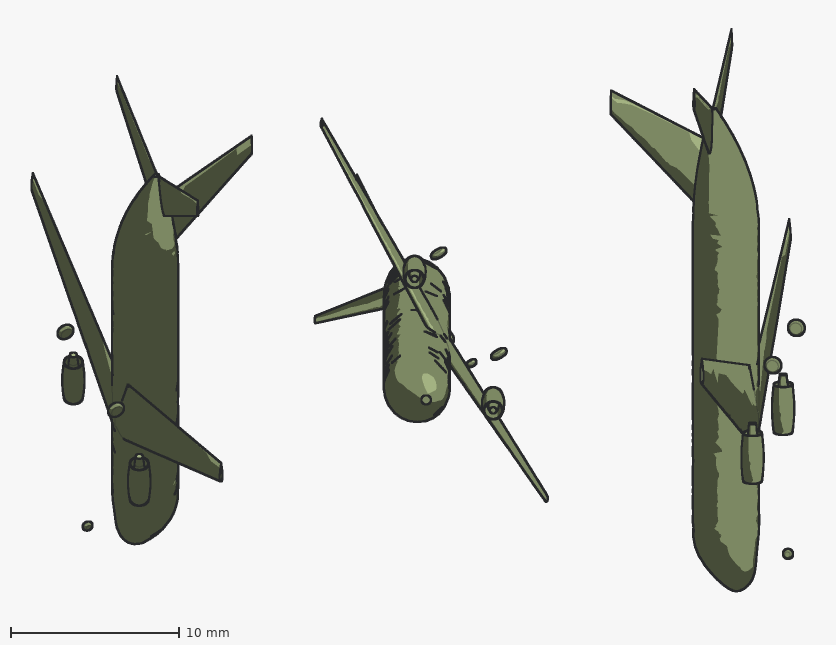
import cadquery as cq
import math


fuselage_radius = 1.98
nose_length = 3.95
tail_start = 22.5
tail_tip = 30.05
tail_tip_radius = 0.15
tail_tip_rise = 0.75
nose_drop = 0.64
nose_drop_power = 5
nose_bluntness_power = 1.2
nose_tip_angle = 0.2
end_rings = 9
barrel_spaces = 15

airfoil_scale = 5
airfoil_terms = [(0.2969, 0.5), (-0.1260, 1), (-0.3516, 2), (0.2843, 3), (-0.1036, 4)]

section_points = 24
wing_thickness_ratio = 0.125
wing_half_span = 26.81 / 2
wing_root_y = -1.68
wing_tip_y = -1.19
wing_root_edges = (9.07, 14.10)
wing_tip_edges = (17.30, 18.88)

tailplane_thickness_ratio = 0.08
tailplane_half_span = 5.75
tailplane_y = 0.80
tailplane_root_edges = (26.60, 30.03)
tailplane_tip_edges = (31.85, 33.14)

fin_thickness_ratio = 0.10
fin_tip_y = 6.97
fin_root_edges = (22.17, 27.54)
fin_tip_edges = (29.29, 30.79)

engine_x = 4.69
engine_y = -2.54
cowl_front = 8.47
cowl_rear = 11.46
cowl_end_radius = 0.57
cowl_middle_radius = 0.67
duct_radius = 0.53
core_front_radius = 0.20
core_middle_radius = 0.36
nozzle_base_radius = 0.28
nozzle_tip_radius = 0.21
nozzle_tip = 12.07
strut_width = 0.06
strut_length = 1.0

ground_y = -4.07
main_wheel_x = 3.59
main_wheel_z = 15.42
main_wheel_radius = 0.51
main_wheel_width = 0.34
nose_wheel_z = 2.45
nose_wheel_radius = 0.31
nose_wheel_width = 0.32
tread_rounding_ratio = 0.45


def circle_wire(center_y, z, radius):
    return cq.Wire.makeCircle(radius, cq.Vector(0, center_y, z), cq.Vector(0, 0, 1))


def nose_wires():
    """Rings of an ellipse-like nose whose centre droops towards the tip."""
    wires = []
    for index in range(end_rings + 1):
        angle = nose_tip_angle + (math.pi / 2 - nose_tip_angle) * index / end_rings
        advance = 1 - math.cos(angle) / math.cos(nose_tip_angle)
        radius = fuselage_radius * math.sin(angle) ** nose_bluntness_power
        center_y = -nose_drop * (1 - advance**2) ** nose_drop_power
        wires.append(circle_wire(center_y, nose_length * advance, radius))
    return wires


def barrel_wires():
    """Equal rings along the straight part between the nose and the tail cone."""
    spacing = (tail_start - nose_length) / barrel_spaces
    return [
        circle_wire(0, nose_length + spacing * index, fuselage_radius)
        for index in range(1, barrel_spaces)
    ]


def tail_wires():
    """Rings of a tail cone that rises towards a small blunt tip."""
    wires = []
    for index in range(end_rings + 1):
        advance = index / end_rings
        radius = fuselage_radius - (fuselage_radius - tail_tip_radius) * advance**2
        center_y = tail_tip_rise * advance**2
        z = tail_start + (tail_tip - tail_start) * advance
        wires.append(circle_wire(center_y, z, radius))
    return wires


def make_fuselage():
    wires = nose_wires() + barrel_wires() + tail_wires()
    return cq.Workplane(cq.Solid.makeLoft(wires))


def airfoil_half_thickness(fraction, thickness):
    """Half thickness of a symmetric four-digit NACA section with a closed trailing edge."""
    polynomial = sum(factor * fraction**power for factor, power in airfoil_terms)
    return airfoil_scale * thickness * polynomial


def airfoil_wire(edges, thickness_ratio, place):
    """Section between two Z edges; place(offset, z) puts a point of it in space."""
    leading, trailing = edges
    chord = trailing - leading
    upper = []
    lower = []
    for index in range(section_points + 1):
        fraction = (1 - math.cos(math.pi * index / section_points)) / 2
        half = airfoil_half_thickness(fraction, chord * thickness_ratio)
        z = leading + chord * fraction
        upper.append(place(half, z))
        lower.append(place(-half, z))
    outline = upper[::-1] + lower[1:-1] + upper[-1:]
    return cq.Wire.assembleEdges([cq.Edge.makeSpline(outline)])


def make_surface(root_edges, tip_edges, thickness_ratio, root_place, tip_place):
    root = airfoil_wire(root_edges, thickness_ratio, root_place)
    tip = airfoil_wire(tip_edges, thickness_ratio, tip_place)
    return cq.Workplane(cq.Solid.makeLoft([root, tip], True))


def make_wing(side):
    return make_surface(
        wing_root_edges,
        wing_tip_edges,
        wing_thickness_ratio,
        lambda offset, z: cq.Vector(0, wing_root_y + offset, z),
        lambda offset, z: cq.Vector(side * wing_half_span, wing_tip_y + offset, z),
    )


def make_tailplane(side):
    return make_surface(
        tailplane_root_edges,
        tailplane_tip_edges,
        tailplane_thickness_ratio,
        lambda offset, z: cq.Vector(0, tailplane_y + offset, z),
        lambda offset, z: cq.Vector(side * tailplane_half_span, tailplane_y + offset, z),
    )


def make_fin():
    return make_surface(
        fin_root_edges,
        fin_tip_edges,
        fin_thickness_ratio,
        lambda offset, z: cq.Vector(offset, 0, z),
        lambda offset, z: cq.Vector(offset, fin_tip_y, z),
    )


def make_airframe():
    airframe = make_fuselage().union(make_fin())
    for side in (-1, 1):
        airframe = airframe.union(make_wing(side)).union(make_tailplane(side))
    return airframe


def make_engine(x):
    """Open cowl around a core with a tail nozzle, held by one thin strut."""
    middle = (cowl_front + cowl_rear) / 2
    cowl = (
        cq.Workplane("XZ")
        .moveTo(duct_radius, cowl_front)
        .lineTo(cowl_end_radius, cowl_front)
        .threePointArc((cowl_middle_radius, middle), (cowl_end_radius, cowl_rear))
        .lineTo(duct_radius, cowl_rear)
        .close()
        .revolve(360, (0, 0, 0), (0, 1, 0))
    )
    core = (
        cq.Workplane("XZ")
        .moveTo(0, cowl_front)
        .lineTo(core_front_radius, cowl_front)
        .threePointArc((core_middle_radius, middle), (nozzle_base_radius, cowl_rear))
        .lineTo(nozzle_tip_radius, nozzle_tip)
        .lineTo(0, nozzle_tip)
        .close()
        .revolve(360, (0, 0, 0), (0, 1, 0))
    )
    strut_span = (duct_radius + cowl_end_radius) / 2
    strut = (
        cq.Workplane("XY", origin=(-strut_span / 2, 0, middle))
        .box(strut_span, strut_width, strut_length)
    )
    return cowl.union(core).union(strut).translate((x, engine_y, 0))


def make_wheel(x, z, radius, width):
    """Wheel with a rounded tread, axle along X, standing on the ground level."""
    return (
        cq.Workplane("YZ", origin=(x - width / 2, ground_y + radius, z))
        .circle(radius)
        .extrude(width)
        .edges()
        .fillet(width * tread_rounding_ratio)
    )


airframe = make_airframe()
engines = [make_engine(side * engine_x) for side in (-1, 1)]
main_wheels = [
    make_wheel(side * main_wheel_x, main_wheel_z, main_wheel_radius, main_wheel_width)
    for side in (-1, 1)
]
nose_wheel = make_wheel(0, nose_wheel_z, nose_wheel_radius, nose_wheel_width)

result = cq.Compound.makeCompound(
    [
        airframe.val(),
        *[engine.val() for engine in engines],
        *[wheel.val() for wheel in main_wheels],
        nose_wheel.val(),
    ]
)